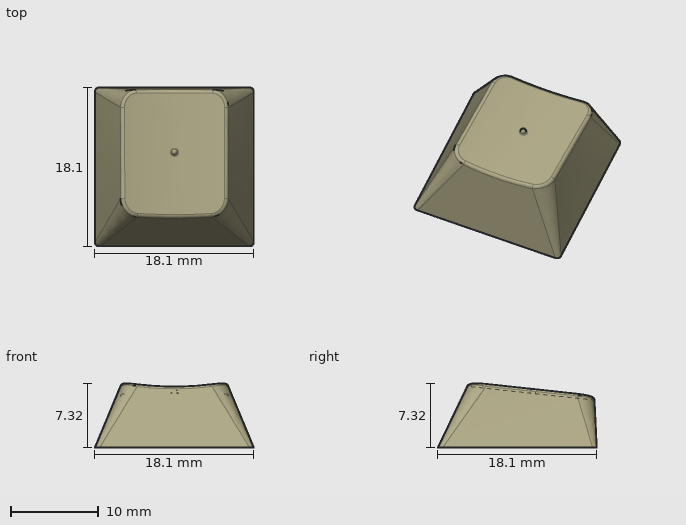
import cadquery as cq
import math

foot_side = 18.1
foot_corner_radius = 0.5

top_width = 12.02
top_length = 14.3
top_corner_radius = 2.08
top_center_y = 1.67
top_center_z = 6.75
top_tilt = 6.2

dish_radius = 32.58
dish_sag = dish_radius - math.sqrt(dish_radius**2 - (top_width / 2) ** 2)
rim_fillet = 0.43
rim_edges_above = 5.25

bump_diameter = 0.7
bump_fillet = 0.1
bump_center_y = 1.7
bump_rise = 0.09


def rounded_rectangle(width, length, corner_radius):
    """Rounded rectangle centred on the origin."""
    return cq.Sketch().rect(width, length).vertices().fillet(corner_radius)


def tilted_plane(height):
    """Plane parallel to the top outline, offset along its normal."""
    tilt = math.radians(top_tilt)
    normal = cq.Vector(0, math.sin(tilt), math.cos(tilt))
    origin = cq.Vector(0, top_center_y, top_center_z) + normal * height
    return cq.Plane(origin=origin.toTuple(), xDir=(1, 0, 0), normal=normal.toTuple())


def make_skirt():
    """Solid lofted from the foot to the tilted top outline."""
    foot = rounded_rectangle(foot_side, foot_side, foot_corner_radius)
    top = rounded_rectangle(top_width, top_length, top_corner_radius)
    top_placed = top.moved(cq.Location(tilted_plane(0)))
    return cq.Workplane("XY").placeSketch(foot, top_placed).loft(ruled=True)


def make_dish():
    """Cylinder whose lowest line is dish_sag below the side edges of the top."""
    center_plane = tilted_plane(dish_radius - dish_sag)
    section_plane = cq.Plane(
        origin=center_plane.origin.toTuple(),
        xDir=(1, 0, 0),
        normal=center_plane.yDir.toTuple(),
    )
    return cq.Workplane(section_plane).circle(dish_radius).extrude(top_length, both=True)


def bump_center():
    """Centre of the bump's ball, just above the lowest line of the dish."""
    dish_bottom = tilted_plane(-dish_sag).origin
    drop = (bump_center_y - dish_bottom.y) * math.tan(math.radians(top_tilt))
    return cq.Vector(0, bump_center_y, dish_bottom.z - drop + bump_rise)


def box_around(center, half_size):
    """Selector for the edges centred in a cube about a point."""
    reach = cq.Vector(half_size, half_size, half_size)
    return cq.selectors.BoxSelector((center - reach).toTuple(), (center + reach).toTuple())


def round_rim(cap):
    """Round the edge where the dish meets the walls; all other edges are centred lower."""
    rim_edges = cq.selectors.BoxSelector(
        (-foot_side, -foot_side, rim_edges_above),
        (foot_side, foot_side, 2 * top_center_z),
    )
    return cap.edges(rim_edges).fillet(rim_fillet)


def add_bump(cap):
    """Ball standing in the dish, blended into it by a small concave fillet."""
    center = bump_center()
    ball = cq.Workplane("XY").sphere(bump_diameter / 2).translate(center.toTuple())
    joint = box_around(center, bump_diameter / 2)
    return cap.union(ball).edges(joint).fillet(bump_fillet)


result = add_bump(round_rim(make_skirt().cut(make_dish())))